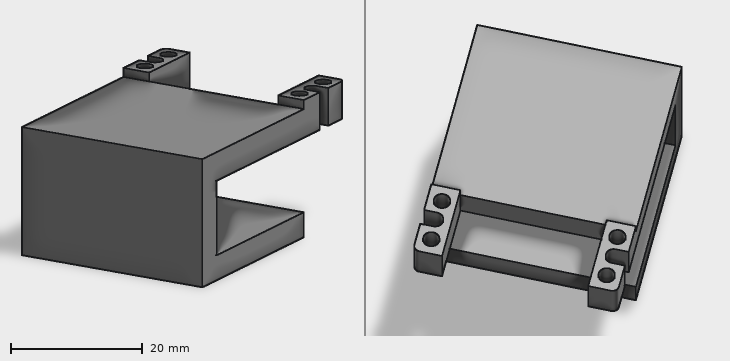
import cadquery as cq

width = 32.0
total_length = 42.0
total_height = 21.85
tab_length = 12.0
tab_step = 1.43
tab_height = 6.0
wall = 4.15
floor = 4.0

tab_width = 4.58
corner_radius = 1.0
hole_diameter = 2.5
hole_inset = 2.5
slot_width = 2.5
slot_depth = 3.28
slot_corner_radius = 1.2
slot_offset = 0.065

body_length = total_length - tab_length
body_height = total_height - tab_step
tab_bottom = total_height - tab_height


def make_body():
    """Upper plate, closed -Y wall and lower plate."""
    block = cq.Workplane("XY").box(width, body_length, body_height, centered=(True, False, False))
    opening = (
        cq.Workplane("XY")
        .box(width, body_length - wall, tab_bottom - floor, centered=(True, False, False))
        .translate((0, wall, floor))
    )
    return block.cut(opening)


def make_tab():
    """Tab on the -X side with a rounded outer corner, two holes and an open side slot."""
    outer_x = -width / 2
    centre_x = outer_x + tab_width / 2
    centre_y = body_length + tab_length / 2
    hole_spacing = tab_length - 2 * hole_inset

    tab = (
        cq.Workplane("XY", origin=(centre_x, centre_y, tab_bottom))
        .rect(tab_width, tab_length)
        .extrude(tab_height)
        .edges("|Z and <X and >Y")
        .fillet(corner_radius)
    )
    holes = (
        cq.Workplane("XY", origin=(centre_x, centre_y, tab_bottom))
        .rarray(0.4, hole_spacing, 1, 2)
        .circle(hole_diameter / 2)
        .extrude(tab_height)
    )
    slot = (
        cq.Workplane("XY", origin=(outer_x, centre_y - slot_offset, tab_bottom))
        .rect(2 * slot_depth, slot_width)
        .extrude(tab_height)
        .edges("|Z and >X")
        .fillet(slot_corner_radius)
    )
    return tab.cut(holes).cut(slot)


left_tab = make_tab()
right_tab = left_tab.mirror("YZ")
result = make_body().union(left_tab).union(right_tab)